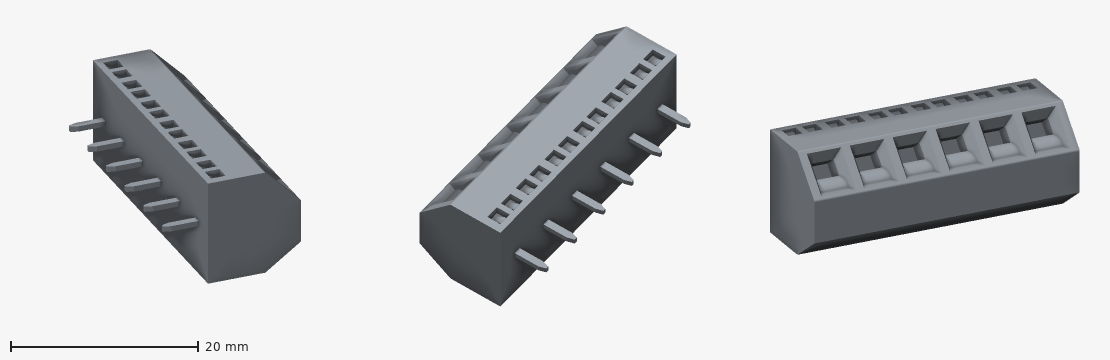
import cadquery as cq
import math


pole_count = 6
length = 31.48
depth = 10.8
height = 12.0
bevel_run = 4.15
lower_bevel_rise = 2.93
bevel_angle = math.radians(45)
upper_bevel_rise = bevel_run * math.tan(bevel_angle)
bevel_edge_radius = 0.3

end_margin = 3.02
pole_pitch = (length - 2 * end_margin) / (pole_count - 1)
pole_centers = [end_margin + i * pole_pitch for i in range(pole_count)]

entry_width = 4.1
entry_low_gap = 0.25
entry_high_gap = 3.85
throat_inset = 0.72
shelf_length = 1.05
lip_run = 1.6
lip_start_angle = math.radians(52)
throat_length = 1.9
throat_angle = math.atan(lower_bevel_rise / bevel_run)
entry_overshoot = 0.63

pocket_size = 1.7
pocket_depth = 0.95
pocket_front_gap = 0.75
pocket_offset = (entry_width - pocket_size) / 2
wedge_width = 0.98
wedge_top_length = 0.38
wedge_ramp_length = 1.1
wedge_height = 0.57

pin_length = 4.0
pin_width = 0.88
pin_thickness = 0.63
pin_tip_width = 0.35
pin_tip_length = 0.85
pin_z = height / 2


def make_housing():
    """Six-sided profile extruded along X, with softened upper bevel edges."""
    profile = [
        (0, 0),
        (depth - bevel_run, 0),
        (depth, lower_bevel_rise),
        (depth, height - upper_bevel_rise),
        (depth - bevel_run, height),
        (0, height),
    ]
    body = cq.Workplane("YZ").polyline(profile).close().extrude(length)
    bevel_middle = (length / 2, depth - bevel_run / 2, height - upper_bevel_rise / 2)
    upper_bevel = body.faces(cq.selectors.NearestToPointSelector(bevel_middle))
    return upper_bevel.edges("|X").fillet(bevel_edge_radius)


def move(point, direction, distance):
    """Shift a (y, z) point along a direction."""
    return (point[0] + distance * direction[0], point[1] + distance * direction[1])


def make_wire_entry(center_x):
    """Funnel sunk square to the bevel: its YZ section limited by its tapering width."""
    inward = (-math.sin(bevel_angle), -math.cos(bevel_angle))
    downhill = (math.cos(bevel_angle), -math.sin(bevel_angle))

    def on_bevel(gap):
        """Point of the bevel at a Y distance from the back face."""
        return (depth - gap, height - upper_bevel_rise + gap * math.tan(bevel_angle))

    mouth_low = on_bevel(entry_low_gap)
    mouth_high = on_bevel(entry_high_gap)
    shelf_end = (mouth_low[0] - shelf_length, mouth_low[1])
    lip_radius = lip_run / math.sin(lip_start_angle)
    lip_center = (
        shelf_end[0] - lip_run,
        shelf_end[1] - lip_radius * math.cos(lip_start_angle),
    )
    lip = move(lip_center, (0, 1), lip_radius)
    half_angle = lip_start_angle / 2
    lip_middle = move(lip_center, (math.sin(half_angle), math.cos(half_angle)), lip_radius)

    throat_depth = (lip[0] - mouth_low[0]) * inward[0] + (lip[1] - mouth_low[1]) * inward[1]
    throat_direction = (-math.cos(throat_angle), -math.sin(throat_angle))
    throat_high = move(move(mouth_high, inward, throat_depth), downhill, throat_inset)

    side_section = (
        cq.Workplane("YZ", origin=(center_x - entry_width / 2, 0, 0))
        .moveTo(*move(mouth_low, inward, -entry_overshoot))
        .lineTo(*mouth_low)
        .lineTo(*shelf_end)
        .threePointArc(lip_middle, lip)
        .lineTo(*move(lip, throat_direction, throat_length))
        .lineTo(*move(throat_high, throat_direction, throat_length))
        .lineTo(*throat_high)
        .lineTo(*mouth_high)
        .lineTo(*move(mouth_high, inward, -entry_overshoot))
        .close()
        .extrude(entry_width)
    )

    mouth_half = entry_width / 2
    throat_half = mouth_half - throat_inset
    hole_end = throat_depth + throat_length
    width_plane = cq.Plane(
        origin=(center_x, *mouth_low),
        xDir=(1, 0, 0),
        normal=(0, *downhill),
    )
    width_points = [
        (-mouth_half, -entry_overshoot),
        (-mouth_half, 0),
        (-throat_half, throat_depth),
        (-throat_half, hole_end),
        (throat_half, hole_end),
        (throat_half, throat_depth),
        (mouth_half, 0),
        (mouth_half, -entry_overshoot),
    ]
    width_section = (
        cq.Workplane(width_plane)
        .polyline(width_points)
        .close()
        .extrude(2 * depth, both=True)
    )
    return side_section.intersect(width_section)


def make_test_pocket(center_x):
    """Square pocket that leaves a wedge standing on its floor against the front wall."""
    floor_z = height - pocket_depth
    pocket = (
        cq.Workplane("XY", origin=(center_x, pocket_front_gap + pocket_size / 2, floor_z))
        .rect(pocket_size, pocket_size)
        .extrude(pocket_depth)
    )
    wedge = (
        cq.Workplane("YZ", origin=(center_x - wedge_width / 2, pocket_front_gap, floor_z))
        .polyline([
            (0, 0),
            (wedge_top_length + wedge_ramp_length, 0),
            (wedge_top_length, wedge_height),
            (0, wedge_height),
        ])
        .close()
        .extrude(wedge_width)
    )
    return pocket.cut(wedge)


def make_pin(center_x):
    """Flat pin with a tapered tip, standing on the front face."""
    half = pin_width / 2
    tip_half = pin_tip_width / 2
    taper_start = -(pin_length - pin_tip_length)
    return (
        cq.Workplane("XY", origin=(center_x, 0, pin_z - pin_thickness / 2))
        .polyline([
            (-half, 0),
            (-half, taper_start),
            (-tip_half, -pin_length),
            (tip_half, -pin_length),
            (half, taper_start),
            (half, 0),
        ])
        .close()
        .extrude(pin_thickness)
    )


result = make_housing()
for pole_x in pole_centers:
    result = result.cut(make_wire_entry(pole_x))
    for side in (-1, 1):
        result = result.cut(make_test_pocket(pole_x + side * pocket_offset))
    result = result.union(make_pin(pole_x))